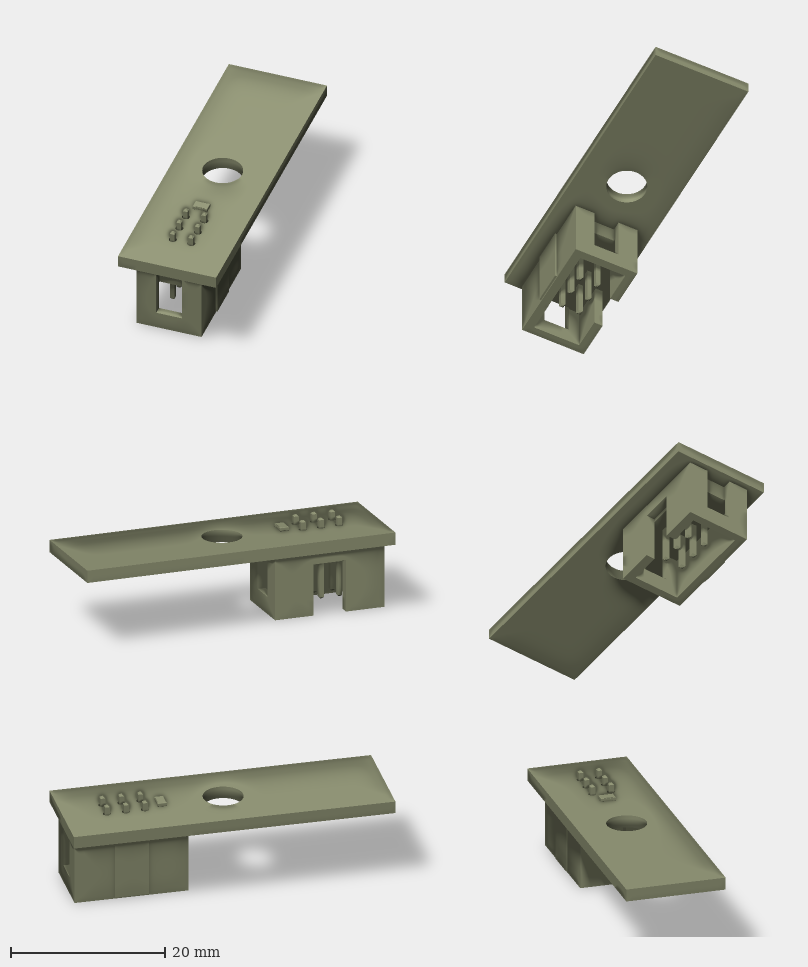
import cadquery as cq


BOARD_WIDTH = 13.5
BOARD_LENGTH = 42.9
BOARD_THICKNESS = 1.67
LARGE_HOLE_DIAMETER = 5.3
LARGE_HOLE_Y = 0.1
PIN_HOLE_DIAMETER = 1.05

HEADER_X = 0.05
HEADER_Y = -13.2
HEADER_WIDTH = 8.95
HEADER_LENGTH = 15.25
HEADER_HEIGHT = 8.9
STANDOFF_HEIGHT = 0.25
STANDOFF_DIAMETER = 1.0
STANDOFF_PITCH_X = 5.7
STANDOFF_PITCH_Y = 5.15
STANDOFF_COLUMNS = 2
STANDOFF_ROWS = 3
SIDE_WALL = 1.2
END_WALL = 1.07
FLOOR_THICKNESS = 2.3
END_SLOT_WIDTH = 3.5
END_SLOT_DEPTH = 6.5
FLOOR_END_RECESS = 1.3
KEY_SLOT_WIDTH = 4.5
KEY_SLOT_ABOVE_FLOOR = 0.5
RIB_PROJECTION = 0.25
RIB_BOTTOM_GAP = 0.25

PIN_SIZE = 0.65
PIN_PITCH = 2.55
PIN_COLUMNS = 2
PIN_ROWS = 3
PIN_TOP = 1.3
PIN_BOTTOM = -9.7
PIN_TIP_CHAMFER = 0.2

CHIP_X = 0.05
CHIP_Y = -8.3
CHIP_LENGTH = 2.0
CHIP_WIDTH = 1.25
CHIP_HEIGHT = 0.5
CAP_LENGTH = 0.4
CAP_FILLET = 0.1
CORE_INSET = 0.05
CORE_BOTTOM = 0.1
CORE_TOP = 0.4
COAT_INSET = 0.1

HEADER_TOP = -BOARD_THICKNESS - STANDOFF_HEIGHT
HEADER_BOTTOM = HEADER_TOP - HEADER_HEIGHT
FLOOR_BOTTOM = HEADER_TOP - FLOOR_THICKNESS


def box(size_x, size_y, bottom, top, x=0.0, y=0.0):
    """Box centred on (x, y) that spans the heights bottom to top."""
    return cq.Workplane().box(size_x, size_y, top - bottom).translate((x, y, (bottom + top) / 2))


def pin_grid(plane):
    """Pin positions on the given workplane, centred on its origin."""
    return plane.rarray(PIN_PITCH, PIN_PITCH, PIN_COLUMNS, PIN_ROWS)


def make_board():
    """Flat board with one large hole and a clearance hole for each pin."""
    board = box(BOARD_WIDTH, BOARD_LENGTH, -BOARD_THICKNESS, 0)
    large_hole = cq.Workplane(origin=(0, LARGE_HOLE_Y, 0)).circle(LARGE_HOLE_DIAMETER / 2)
    board = board.cut(large_hole.extrude(-BOARD_THICKNESS))
    pin_holes = pin_grid(cq.Workplane(origin=(HEADER_X, HEADER_Y, 0))).circle(PIN_HOLE_DIAMETER / 2)
    return board.cut(pin_holes.extrude(-BOARD_THICKNESS))


def make_housing():
    """Box open at the bottom, with slots in both ends and a key slot in the -X wall."""
    housing = box(HEADER_WIDTH, HEADER_LENGTH, HEADER_BOTTOM, HEADER_TOP, HEADER_X, HEADER_Y)

    cavity_width = HEADER_WIDTH - 2 * SIDE_WALL
    cavity_length = HEADER_LENGTH - 2 * END_WALL
    housing = housing.cut(box(cavity_width, cavity_length, HEADER_BOTTOM, FLOOR_BOTTOM, HEADER_X, HEADER_Y))

    end_offset = (HEADER_LENGTH - FLOOR_END_RECESS) / 2
    slot_bottom = HEADER_TOP - END_SLOT_DEPTH
    for y in (HEADER_Y - end_offset, HEADER_Y + end_offset):
        end_slot = box(END_SLOT_WIDTH, FLOOR_END_RECESS, slot_bottom, HEADER_TOP, HEADER_X, y)
        housing = housing.cut(end_slot)

    key_slot_x = HEADER_X - (HEADER_WIDTH - SIDE_WALL) / 2
    key_slot_top = FLOOR_BOTTOM + KEY_SLOT_ABOVE_FLOOR
    housing = housing.cut(box(SIDE_WALL, KEY_SLOT_WIDTH, HEADER_BOTTOM, key_slot_top, key_slot_x, HEADER_Y))

    rib_x = HEADER_X + (HEADER_WIDTH + RIB_PROJECTION) / 2
    rib_bottom = HEADER_BOTTOM + RIB_BOTTOM_GAP
    return housing.union(box(RIB_PROJECTION, KEY_SLOT_WIDTH, rib_bottom, HEADER_TOP, rib_x, HEADER_Y))


def make_standoffs():
    """Short round feet that hold the housing off the underside of the board."""
    plane = cq.Workplane(origin=(HEADER_X, HEADER_Y, HEADER_TOP))
    spots = plane.rarray(STANDOFF_PITCH_X, STANDOFF_PITCH_Y, STANDOFF_COLUMNS, STANDOFF_ROWS)
    return spots.circle(STANDOFF_DIAMETER / 2).extrude(STANDOFF_HEIGHT)


def make_pins():
    """Square pins with chamfered tips that run through the housing floor and the board."""
    plane = cq.Workplane(origin=(HEADER_X, HEADER_Y, PIN_BOTTOM))
    pins = pin_grid(plane).rect(PIN_SIZE, PIN_SIZE).extrude(PIN_TOP - PIN_BOTTOM)
    return pins.faces("<Z or >Z").chamfer(PIN_TIP_CHAMFER)


def make_header():
    """Housing, standoffs and pins as one solid."""
    return make_housing().union(make_standoffs()).union(make_pins())


def make_chip():
    """Ceramic core with a thin coat on top, between two rounded end caps."""
    block = box(CHIP_LENGTH, CHIP_WIDTH, 0, CHIP_HEIGHT, CHIP_X, CHIP_Y)
    block = block.edges("|X or |Y").fillet(CAP_FILLET)
    gap_length = CHIP_LENGTH - 2 * CAP_LENGTH
    end_caps = block.cut(box(gap_length, CHIP_WIDTH, 0, CHIP_HEIGHT, CHIP_X, CHIP_Y))

    core_width = CHIP_WIDTH - 2 * CORE_INSET
    core = box(gap_length, core_width, CORE_BOTTOM, CORE_TOP, CHIP_X, CHIP_Y)
    coat_width = CHIP_WIDTH - 2 * COAT_INSET
    coat = box(gap_length, coat_width, CORE_TOP, CHIP_HEIGHT, CHIP_X, CHIP_Y)
    return core.union(coat).union(end_caps)


board = make_board()
header = make_header()
chip = make_chip()

result = cq.Compound.makeCompound([board.solids().val(), header.solids().val(), chip.solids().val()])